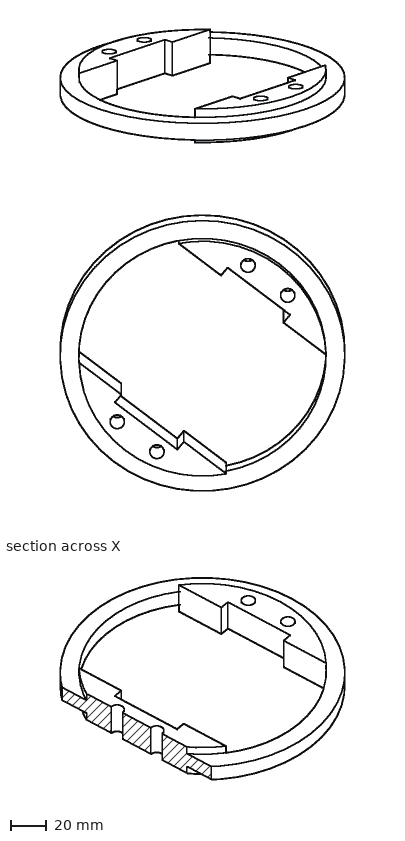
import cadquery as cq

outer_diameter = 160.0
inner_diameter = 138.9

pad_height = 20.0
ring_height = pad_height / 2
pad_edge_x = 45.0

recess_floor_x = 50.9
recess_length = 44.8

hole_diameter = 8.0
hole_spacing_x = 118.0
hole_spacing_y = 28.5


def centred_disc(diameter, height):
    return cq.Workplane("XY").workplane(offset=-height / 2).circle(diameter / 2).extrude(height)


def make_ring():
    bore = centred_disc(inner_diameter, ring_height)
    return centred_disc(outer_diameter, ring_height).cut(bore)


def make_pads():
    """Two circular segments left by cutting the stepped opening from a disc."""
    opening = cq.Workplane("XY").box(2 * pad_edge_x, inner_diameter, pad_height)
    recesses = cq.Workplane("XY").box(2 * recess_floor_x, recess_length, pad_height)
    holes = (
        cq.Workplane("XY")
        .workplane(offset=-pad_height / 2)
        .rect(hole_spacing_x, hole_spacing_y, forConstruction=True)
        .vertices()
        .circle(hole_diameter / 2)
        .extrude(pad_height)
    )
    return centred_disc(inner_diameter, pad_height).cut(opening).cut(recesses).cut(holes)


result = make_ring().union(make_pads())